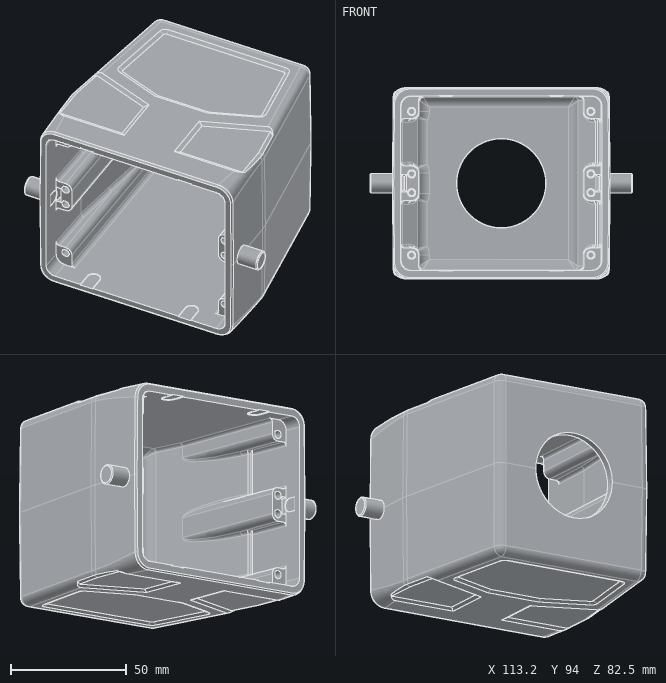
import cadquery as cq
import math


hood_length = 94.0
half_width = 47.0
half_height = 41.25
draft = 0.6
flank_angle = 8.2
bend_start = 28.5
bend_end = 31.4
outer_round = 4.0
rim_round = 7.3
rim_chamfer_width = 0.6
rim_chamfer_length = 1.1

cavity_half_width = 43.4
cavity_half_height = 37.6
cavity_floor_half_height = 37.1
cavity_corner_round = 4.2
floor_thickness = 4.0
floor_y = hood_length - floor_thickness
floor_round = 4.2
step_start = 31.2
step_ledge = 1.0
step_edge_width = 0.9
step_edge_length = 0.75
left_bend_x = 42.6
left_floor_x = 35.7
right_step_x = 42.5
right_floor_x = 32.6

post_end_y = 9.0
post_face_x = 35.6
post_round = 3.0
post_draft = 0.3
post_root_round = 1.5
centre_post_half = 7.4
corner_post_z = 28.0
screw_x = 38.65
centre_screw_z = 4.05
corner_screw_z = 31.0
screw_floor_diameter = 2.7
screw_mouth_diameter = 3.5
screw_depth = 15.0
notch_x = 40.9
notch_half_height = 3.8
notch_outer_x = 43.1
notch_depth = 3.0
notch_draft = 15.0

cable_hole_diameter = 38.4
pin_diameter = 8.5
pin_tip_x = 56.6
pin_y = 8.75
pin_chamfer = 0.5

panel_depth = 1.0
panel_wall_width = 1.95
panel_draft = math.degrees(math.atan2(panel_wall_width, panel_depth))
panel_slant = 20.0
panel_round = 3.0
main_panel_top = 86.1
main_panel_bottom = 42.9
main_panel_top_half = 31.0
main_panel_side_angle = 8.2
main_panel_bottom_half = 12.75
grip_inner_x = 12.2
grip_bottom = 12.8
grip_inner_top = 36.3
grip_floor_inset = 2.7

relief_x = 23.8
relief_width = 6.0
relief_length = 9.5
relief_depth = 0.4


def tan(angle):
    return math.tan(math.radians(angle))


def upper_shell_half():
    """Tapered part of the shell above the parting plane, rounded all over."""
    bend_mid = (bend_start + bend_end) / 2
    bend_radius = (bend_end - bend_start) / math.sin(math.radians(flank_angle))
    end_x = half_width - (bend_end - bend_mid) * tan(flank_angle)
    half_angle = math.radians(flank_angle / 2)
    mid = (
        half_width - bend_radius * (1 - math.cos(half_angle)),
        bend_start + bend_radius * math.sin(half_angle),
    )
    back_x = end_x - (hood_length - bend_end) * tan(flank_angle)
    allowance = 2.0
    low_y = bend_start - allowance
    shell = (
        cq.Workplane("XY")
        .moveTo(half_width, low_y)
        .lineTo(half_width, bend_start)
        .threePointArc(mid, (end_x, bend_end))
        .lineTo(back_x, hood_length)
        .lineTo(-back_x, hood_length)
        .lineTo(-end_x, bend_end)
        .threePointArc((-mid[0], mid[1]), (-half_width, bend_start))
        .lineTo(-half_width, low_y)
        .close()
        .extrude(half_height, taper=draft)
    )
    trim = cq.Workplane("XY").box(4 * half_width, 2 * bend_start, 4 * half_height)
    shell = shell.cut(trim)
    corners = cq.selectors.BoxSelector(
        (-half_width, hood_length - 1, 1), (half_width, hood_length + 1, half_height - 1)
    )
    top_edges = shell.faces(">Z").edges("not <Y")
    return top_edges.add(shell.edges(corners)).fillet(outer_round)


def rim_section(y):
    """Drafted cross-section whose corner radius grows towards the rim."""
    radius = outer_round + (rim_round - outer_round) * (1 - y / bend_start) ** 1.5
    top_x = half_width - half_height * tan(draft)
    section = (
        cq.Sketch()
        .polygon([
            (half_width, 0), (top_x, half_height), (-top_x, half_height),
            (-half_width, 0), (-top_x, -half_height), (top_x, -half_height), (half_width, 0),
        ])
        .vertices("<Y or >Y")
        .fillet(radius)
    )
    return section


def rim_shell():
    """Shell between the rim and the bend, with a steep chamfer around the rim."""
    sections = 4
    spacing = (bend_start - rim_chamfer_length) / (sections - 1)
    stations = [rim_chamfer_length + spacing * i for i in range(sections)]
    shell = cq.Workplane("XZ").placeSketch(
        *[rim_section(y).moved(cq.Location(cq.Vector(0, 0, -y))) for y in stations]
    ).loft()
    chamfer_taper = math.degrees(math.atan2(rim_chamfer_width, rim_chamfer_length))
    rim = (
        cq.Workplane("XZ", origin=(0, rim_chamfer_length, 0))
        .placeSketch(rim_section(rim_chamfer_length))
        .extrude(rim_chamfer_length, taper=chamfer_taper)
    )
    return shell.union(rim)


def post(z_low, z_high):
    """Screw post of the +X flank, running from its screw face to the cavity floor."""
    outline = (
        cq.Sketch()
        .rect(2 * (half_width - post_face_x), z_high - z_low)
        .vertices()
        .fillet(post_round)
    )
    return (
        cq.Workplane("XZ", origin=(half_width, post_end_y, (z_low + z_high) / 2))
        .placeSketch(outline)
        .extrude(post_end_y - floor_y, taper=-post_draft)
    )


def on_both_flanks(shape):
    return shape.union(shape.mirror("YZ"))


def posts():
    beyond = cavity_half_height + 2 * post_round
    group = post(-centre_post_half, centre_post_half)
    group = group.union(post(corner_post_z, beyond))
    group = group.union(post(-beyond, -corner_post_z))
    return on_both_flanks(group)


def box_between(x_pair, y_pair, z_pair):
    """Edge selector for a box given by two limits along each axis, in any order."""
    limits = [sorted(pair) for pair in (x_pair, y_pair, z_pair)]
    return cq.selectors.BoxSelector(*zip(*limits))


def round_post_roots(space):
    """Round the lengthwise edges where the posts meet the hood walls."""
    lengthwise = (post_end_y + post_root_round, floor_y - 2 * floor_round)
    flank_x = post_face_x + post_round + post_root_round / 2
    flank_z = corner_post_z + post_root_round
    inner_x = post_face_x - post_root_round
    outer_x = post_face_x + post_root_round
    face_z = cavity_floor_half_height - post_root_round
    for side in (-1, 1):
        flanks = box_between((side * flank_x, side * half_width), lengthwise, (-flank_z, flank_z))
        space = space.edges(flanks).edges("not |Z").fillet(post_root_round)
        for top in (-1, 1):
            face = box_between(
                (side * inner_x, side * outer_x), lengthwise, (top * face_z, top * half_height)
            )
            space = space.edges(face).fillet(post_root_round)
    return space


def cavity():
    """Space inside the hood, with the screw posts left standing."""
    ledge_x = right_step_x - step_ledge
    space = (
        cq.Workplane("XY")
        .polyline([
            (-cavity_half_width, 0), (cavity_half_width, 0),
            (right_step_x, step_start),
            (ledge_x, step_start), (ledge_x - step_edge_width, step_start + step_edge_length),
            (right_floor_x, floor_y), (-left_floor_x, floor_y), (-left_bend_x, step_start),
        ])
        .close()
        .extrude(cavity_half_height, both=True)
    )
    side_profile = (
        cq.Workplane("YZ")
        .polyline([
            (0, cavity_half_height), (floor_y, cavity_floor_half_height),
            (floor_y, -cavity_floor_half_height), (0, -cavity_half_height),
        ])
        .close()
        .extrude(half_width, both=True)
    )
    space = space.intersect(side_profile)
    space = space.cut(posts()).faces(">Y").edges().fillet(floor_round)
    space = round_post_roots(space)
    before_posts = box_between(
        (-half_width, half_width), (rim_chamfer_length, post_end_y - 1), (-half_height, half_height)
    )
    return space.edges(before_posts).fillet(cavity_corner_round)


def screw_holes():
    """Blind holes in the faces of the posts, narrowing slightly with depth."""
    heights = (-corner_screw_z, -centre_screw_z, centre_screw_z, corner_screw_z)
    places = [(side * screw_x, z) for side in (-1, 1) for z in heights]
    narrowing = (screw_mouth_diameter - screw_floor_diameter) / 2
    bore_taper = math.degrees(math.atan2(narrowing, screw_depth))
    face = cq.Workplane("XZ", origin=(0, post_end_y, 0)).pushPoints(places)
    return face.circle(screw_mouth_diameter / 2).extrude(-screw_depth, taper=bore_taper)


def notches():
    """Recess behind the screws of each centre post."""
    notch = (
        cq.Workplane("XZ", origin=((notch_x + notch_outer_x) / 2, post_end_y, 0))
        .rect(notch_outer_x - notch_x, 2 * notch_half_height)
        .extrude(-notch_depth, taper=notch_draft)
    )
    return on_both_flanks(notch)


def relief(plane):
    """Round-ended groove running in from the rim."""
    straight = relief_length - relief_width / 2
    return (
        cq.Workplane(plane)
        .moveTo(-relief_width / 2, 0)
        .lineTo(-relief_width / 2, straight)
        .threePointArc((0, relief_length), (relief_width / 2, straight))
        .lineTo(relief_width / 2, 0)
        .close()
        .extrude(relief_depth)
    )


def reliefs():
    """One groove in each flank and two in each large wall."""
    flank = relief(cq.Plane((cavity_half_width - 0.5, 0, 0), (0, 0, -1), (1, 0, 0)))
    roof = relief(cq.Plane((relief_x, 0, cavity_half_height - 0.1), (1, 0, 0), (0, 0, 1)))
    roof = roof.union(roof.mirror("XY"))
    return on_both_flanks(flank.union(roof))


def locking_pins():
    pin = (
        cq.Workplane("YZ", origin=(cavity_half_width + 1, pin_y, 0))
        .circle(pin_diameter / 2)
        .extrude(pin_tip_x - cavity_half_width - 1)
        .faces(">X")
        .chamfer(pin_chamfer)
    )
    return on_both_flanks(pin)


def cable_hole():
    bore = cq.Workplane("XZ", origin=(0, hood_length + 1, 0)).circle(cable_hole_diameter / 2)
    return bore.extrude(2 * floor_thickness)


def panel_pocket(points, depth):
    """Tapered pocket below the upper face, outlined by its mouth."""
    return (
        cq.Workplane("XY", origin=(0, 0, half_height))
        .polyline(points)
        .close()
        .extrude(-depth, taper=panel_draft)
    )


def main_panel():
    bottom_y = main_panel_bottom
    lean = tan(main_panel_side_angle)
    rise = tan(panel_slant)
    side_at_bottom = main_panel_top_half + (main_panel_top - bottom_y) * lean
    shoulder_rise = (side_at_bottom - main_panel_bottom_half) * rise / (1 + lean * rise)
    shoulder_x = side_at_bottom - shoulder_rise * lean
    right = [
        (main_panel_bottom_half, bottom_y),
        (shoulder_x, bottom_y + shoulder_rise),
        (main_panel_top_half, main_panel_top),
    ]
    left = [(-x, y) for x, y in reversed(right)]
    outline = cq.Workplane("XY", origin=(0, 0, half_height)).polyline(right + left).close()
    block = outline.extrude(-panel_depth)
    rounded = cq.selectors.BoxSelector(
        (-half_width, bottom_y + shoulder_rise / 2, 0), (half_width, hood_length, half_height)
    )
    mouth = block.edges("|Z").edges(rounded).fillet(panel_round).faces(">Z").wires()
    return mouth.toPending().extrude(-panel_depth, combine=False, taper=panel_draft)


def grip_panel():
    """Panel on the +X half; its floor bends down where it runs out through the rounded flank."""
    outer_x = half_width + 3 * panel_wall_width
    pocket = panel_pocket([
        (grip_inner_x, grip_bottom),
        (outer_x, grip_bottom),
        (outer_x, grip_inner_top + (outer_x - grip_inner_x) * tan(panel_slant)),
        (grip_inner_x, grip_inner_top),
    ], 2 * panel_depth)
    edge_x = half_width - grip_floor_inset
    bend_y = (bend_start + bend_end) / 2
    plateau = (
        cq.Workplane("XY", origin=(0, 0, half_height - panel_depth))
        .moveTo(0, 0)
        .lineTo(edge_x, 0)
        .lineTo(edge_x, bend_y)
        .lineTo(edge_x - hood_length * tan(flank_angle), bend_y + hood_length)
        .lineTo(0, hood_length)
        .close()
        .extrude(-2 * panel_depth, taper=-panel_draft)
    )
    return pocket.cut(plateau)


def panels():
    upper = main_panel().union(on_both_flanks(grip_panel()))
    return upper.union(upper.mirror("XY"))


result = upper_shell_half()
result = result.union(result.mirror("XY")).union(rim_shell()).union(locking_pins())
result = result.cut(cavity()).cut(screw_holes()).cut(notches()).cut(cable_hole())
result = result.cut(panels()).cut(reliefs())